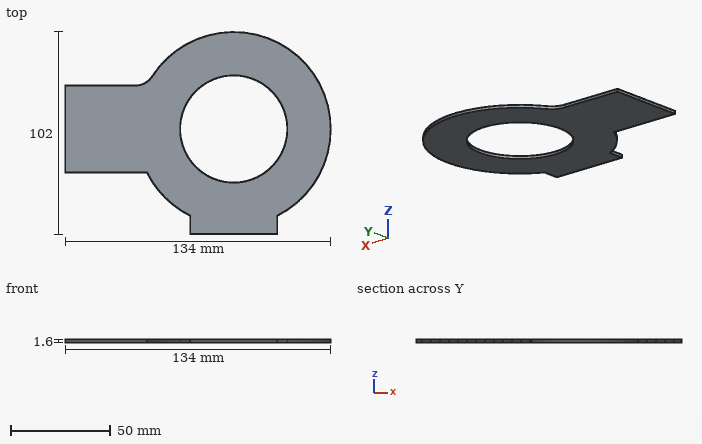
import cadquery as cq
import math

thickness = 1.6
bore_diameter = 54.0
ring_radius = 49.0
tab_width = 44.0
long_tab_reach = 85.0
short_tab_reach = 53.0
fillet_radius = 10.0

half_width = tab_width / 2


def ring_disc():
    return cq.Workplane("XY").circle(ring_radius).extrude(thickness)


def long_tab():
    return (
        cq.Workplane("XY")
        .rect(long_tab_reach, tab_width)
        .extrude(thickness)
        .translate((-long_tab_reach / 2, 0, 0))
    )


def short_tab():
    return (
        cq.Workplane("XY")
        .rect(tab_width, short_tab_reach)
        .extrude(thickness)
        .translate((0, -short_tab_reach / 2, 0))
    )


def corner_fillet():
    """Fill the +Y corner with an arc tangent to the tab edge and to the ring."""
    centre_distance = ring_radius + fillet_radius
    centre_y = half_width + fillet_radius
    centre_x = -math.sqrt(centre_distance**2 - centre_y**2)

    tab_tangent = (centre_x, half_width)
    ring_share = ring_radius / centre_distance
    ring_tangent = (centre_x * ring_share, centre_y * ring_share)

    start_angle = -math.pi / 2
    end_angle = math.atan2(-centre_y, -centre_x)
    middle_angle = (start_angle + end_angle) / 2
    arc_middle = (
        centre_x + fillet_radius * math.cos(middle_angle),
        centre_y + fillet_radius * math.sin(middle_angle),
    )
    inner_corner = (ring_tangent[0], half_width)

    return (
        cq.Workplane("XY")
        .moveTo(*tab_tangent)
        .threePointArc(arc_middle, ring_tangent)
        .lineTo(*inner_corner)
        .close()
        .extrude(thickness)
    )


def bore():
    return cq.Workplane("XY").circle(bore_diameter / 2).extrude(thickness)


blank = ring_disc().union(long_tab()).union(short_tab()).union(corner_fillet())
result = blank.cut(bore()).clean()